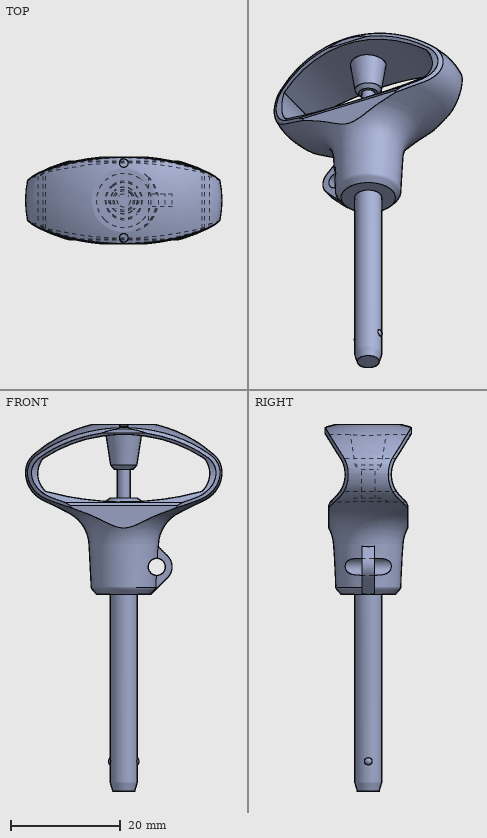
import cadquery as cq
import math

total_height = 67.0
hub_bottom = 36.0

crown_radius = 5.8
shoulder = (16.5, 61.5)
widest = (17.95, 58.1)
flank_top = (14.75, 53.1)
flank_bottom = (10.4, 51.0)
flare_middle = (7.6, 48.65)
neck = (6.35, 45.1)
hub_corner = (5.95, 37.25)
hub_chamfer_top = (5.7, 36.8)
hub_bottom_radius = 4.95

waist_bottom = (5.9, 53.9)
waist_top = (4.9, 60.5)
crown_side_slope = 0.62
rim_bevel = 0.6
belly_bevel = 0.35
crown_width = 15.9
crown_half_width = crown_width / 2
belly_half_width = 7.25

opening_top = 65.2
opening_floor = 52.85
opening_shoulder = (14.75, 60.8)
opening_end = (15.7, 58.15)
opening_corner = (14.3, 54.8)

button_top_radius = 3.3
button_radius = 2.4
button_bottom = 58.8
button_chamfer_radius = 1.75
button_chamfer_height = 0.75
rod_radius = 1.2
collar_radius = 3.55
collar_top_radius = 2.4
collar_height = 0.75
embed_depth = 0.7

crown_pin_radius = 0.8
crown_pin_offset = 6.85
crown_pin_top = 66.8
crown_pin_length = 1.0
crown_pin_tilt = 14.0

lug_x = 6.0
lug_z = 41.0
lug_radius = 2.8
lug_hole_radius = 1.55
lug_thickness = 2.3

shank_radius = 2.5
tip_radius = 2.0
tip_height = 1.6
ball_radius = 0.8
ball_offset = 2.0
ball_height = 5.5

reach = 26.8
overshoot = 0.7
match_tolerance = 0.01


def make_turned_grip():
    """Crown, flared neck and hub as one solid revolved about Z."""
    outline = (
        cq.Workplane("XZ")
        .moveTo(0, hub_bottom)
        .lineTo(hub_bottom_radius, hub_bottom)
        .lineTo(*hub_chamfer_top)
        .tangentArcPoint(hub_corner, relative=False)
        .lineTo(*neck)
        .threePointArc(flare_middle, flank_bottom)
        .lineTo(*flank_top)
        .tangentArcPoint(widest, relative=False)
        .tangentArcPoint(shoulder, relative=False)
        .tangentArcPoint((crown_radius, total_height), relative=False)
        .lineTo(0, total_height)
        .close()
    )
    grip = outline.revolve(360, (0, 0, 0), (0, 1, 0))
    return grip.rotate((0, 0, 0), (0, 0, 1), 180)


def make_waisted_prism():
    """Prism along X, narrow at the waist, that shapes both Y sides of the grip."""
    top = total_height + overshoot
    top_half_width = waist_top[0] + crown_side_slope * (top - waist_top[1])
    bottom_half_width = waist_bottom[0] + waist_bottom[1] - hub_bottom
    half = (
        cq.Workplane("YZ")
        .moveTo(0, hub_bottom)
        .lineTo(bottom_half_width, hub_bottom)
        .lineTo(*waist_bottom)
        .tangentArcPoint(waist_top, relative=False)
        .lineTo(top_half_width, top)
        .lineTo(0, top)
        .close()
        .extrude(reach, both=True)
    )
    return half.union(half.mirror("XZ"))


def make_side_limit(half_width, bottom, top):
    """Block with flat sides at +-half_width in Y between two heights."""
    return (
        cq.Workplane("XY")
        .workplane(offset=bottom)
        .rect(2 * reach, 2 * half_width)
        .extrude(top - bottom)
    )


def make_opening():
    """Eye-shaped prism along Y for the fingers."""
    corner_x, corner_z = opening_corner
    end_x, end_z = opening_end
    shoulder_x, shoulder_z = opening_shoulder
    return (
        cq.Workplane("XZ")
        .moveTo(-corner_x, corner_z)
        .threePointArc((0, opening_floor), opening_corner)
        .threePointArc(opening_end, opening_shoulder)
        .threePointArc((0, opening_top), (-shoulder_x, shoulder_z))
        .threePointArc((-end_x, end_z), (-corner_x, corner_z))
        .close()
        .extrude(reach, both=True)
    )


def is_rim(edge):
    """True for a curved edge that stays well away from the Y midplane."""
    box = edge.BoundingBox()
    clearance = waist_top[0] / 2
    return edge.geomType() != "LINE" and (box.ymin > clearance or box.ymax < -clearance)


def is_belly_edge(edge):
    """True for an edge lying in one of the flat belly faces."""
    return math.isclose(abs(edge.Center().y), belly_half_width, abs_tol=match_tolerance)


def make_grip():
    """Turned grip with waisted sides, bevelled rims and the finger opening."""
    grip = make_turned_grip().intersect(make_waisted_prism())
    rims = [edge for edge in grip.edges().vals() if is_rim(edge)]
    grip = grip.newObject(rims).chamfer(rim_bevel)
    waist_z = widest[1]
    sides = make_side_limit(belly_half_width, hub_bottom, waist_z).union(
        make_side_limit(crown_half_width, waist_z, total_height)
    )
    grip = grip.intersect(sides)
    belly_edges = [edge for edge in grip.edges("|X").vals() if is_belly_edge(edge)]
    grip = grip.newObject(belly_edges).chamfer(belly_bevel)
    return grip.cut(make_opening())


def make_button():
    """Tapered push button on its rod, with the collar on the opening floor."""
    profile = (
        cq.Workplane("XZ")
        .moveTo(0, opening_floor - embed_depth)
        .lineTo(collar_radius, opening_floor - embed_depth)
        .lineTo(collar_radius, opening_floor)
        .lineTo(collar_top_radius, opening_floor + collar_height)
        .lineTo(rod_radius, opening_floor + collar_height)
        .lineTo(rod_radius, button_bottom)
        .lineTo(button_chamfer_radius, button_bottom)
        .lineTo(button_radius, button_bottom + button_chamfer_height)
        .lineTo(button_top_radius, opening_top)
        .lineTo(button_top_radius, opening_top + embed_depth)
        .lineTo(0, opening_top + embed_depth)
        .close()
    )
    return profile.revolve(360, (0, 0, 0), (0, 1, 0))


def make_crown_pins():
    """Two small pins square to the crown surface, one at each Y side."""
    pin = (
        cq.Workplane("XY")
        .circle(crown_pin_radius)
        .extrude(-crown_pin_length)
        .rotate((0, 0, 0), (1, 0, 0), crown_pin_tilt)
        .translate((0, -crown_pin_offset, crown_pin_top))
    )
    return pin.union(pin.mirror("XZ"))


def make_lug():
    """Rounded lanyard lug on the +X side of the hub, with 45 degree flanks."""
    tangent_offset = lug_radius * math.sqrt(0.5)
    tangent_x = lug_x + tangent_offset
    flank_length = tangent_x - hub_bottom_radius
    return (
        cq.Workplane("XZ")
        .moveTo(hub_bottom_radius, lug_z - tangent_offset - flank_length)
        .lineTo(tangent_x, lug_z - tangent_offset)
        .threePointArc((lug_x + lug_radius, lug_z), (tangent_x, lug_z + tangent_offset))
        .lineTo(hub_bottom_radius, lug_z + tangent_offset + flank_length)
        .close()
        .extrude(lug_thickness / 2, both=True)
    )


def make_lug_hole():
    """Lanyard hole along Y through the lug and the side of the hub."""
    return (
        cq.Workplane("XZ")
        .center(lug_x, lug_z)
        .circle(lug_hole_radius)
        .extrude(reach, both=True)
    )


def make_shank():
    """Round shank with a tapered tip and two locking balls."""
    profile = (
        cq.Workplane("XZ")
        .lineTo(tip_radius, 0)
        .lineTo(shank_radius, tip_height)
        .lineTo(shank_radius, hub_bottom)
        .lineTo(0, hub_bottom)
        .close()
    )
    shank = profile.revolve(360, (0, 0, 0), (0, 1, 0))
    balls = (
        cq.Workplane("XY")
        .pushPoints([(-ball_offset, 0), (ball_offset, 0)])
        .sphere(ball_radius)
        .translate((0, 0, ball_height))
    )
    return shank.union(balls)


result = (
    make_grip()
    .union(make_lug())
    .cut(make_lug_hole())
    .union(make_button())
    .union(make_crown_pins())
    .union(make_shank())
)